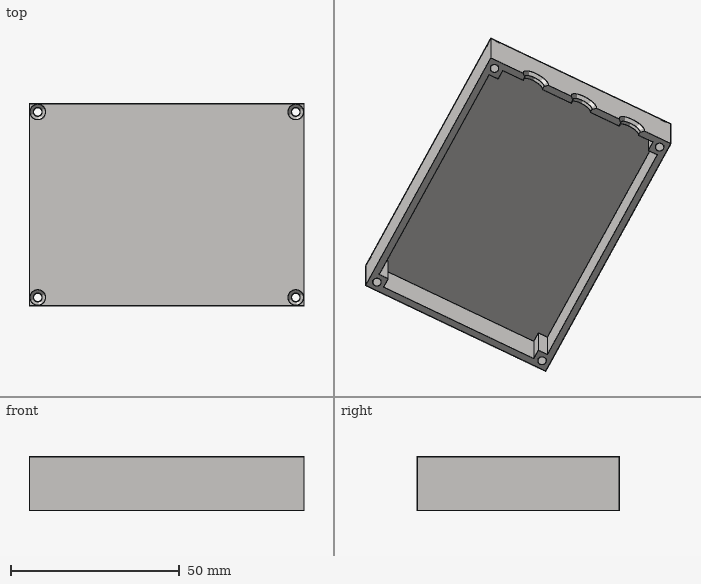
import cadquery as cq
length = 81.5
width = 60.0
height = 16.0
wall = 2.0

screw_inset = 2.5
screw_diameter = 2.5
countersink_diameter = 4.6
countersink_angle = 72.0
post_side = 2 * screw_inset

cable_diameter = 6.4
cable_chamfer = 1.0
cable_axis_height = 0.5
cable_pitch = 16.0
cable_row_center_y = -1.0
cable_count = 3


def make_shell():
    """Box with a bottom-open cavity and a solid post left in each corner."""
    box = cq.Workplane("XY").box(length, width, height, centered=(True, True, False))
    cavity_height = height - wall
    inner_length = length - 2 * wall
    inner_width = width - 2 * wall
    centering = (True, True, False)
    long_block = cq.Workplane("XY").box(inner_length, width - 2 * post_side, cavity_height, centered=centering)
    wide_block = cq.Workplane("XY").box(length - 2 * post_side, inner_width, cavity_height, centered=centering)
    return box.cut(long_block.union(wide_block))


def drill_screw_holes(body):
    """Countersunk through hole in each corner post."""
    return (
        body.faces(">Z")
        .workplane(origin=(0, 0, height))
        .rect(length - 2 * screw_inset, width - 2 * screw_inset, forConstruction=True)
        .vertices()
        .cskHole(screw_diameter, countersink_diameter, countersink_angle)
    )


def cable_cutter(center_y):
    """Cone and bore along X, opening the -X wall at its lower edge."""
    bore_radius = cable_diameter / 2
    start = cq.Vector(-length / 2, center_y, cable_axis_height)
    inward = cq.Vector(1, 0, 0)
    bore = cq.Solid.makeCylinder(bore_radius, wall, start, inward)
    cone = cq.Solid.makeCone(bore_radius + cable_chamfer, bore_radius, cable_chamfer, start, inward)
    return cq.Workplane(bore).union(cq.Workplane(cone))


def cut_cable_openings(body):
    """Evenly spaced row of cable openings."""
    first_y = cable_row_center_y - cable_pitch * (cable_count - 1) / 2
    for index in range(cable_count):
        body = body.cut(cable_cutter(first_y + index * cable_pitch))
    return body


result = cut_cable_openings(drill_screw_holes(make_shell()))